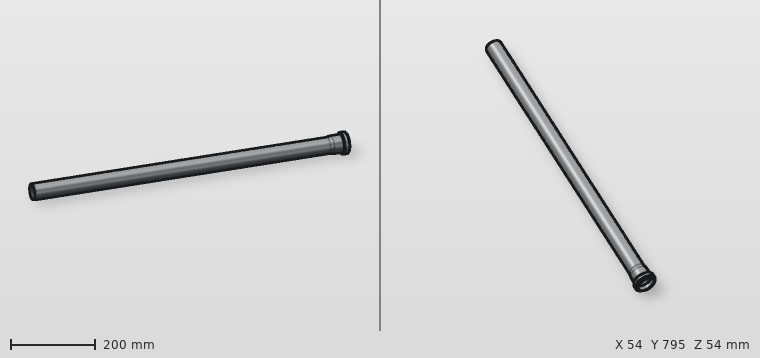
import cadquery as cq

length = 795.0
pipe_diameter = 40.5
bore_diameter = 36.5
spigot_chamfer_length = 4.0
spigot_chamfer_depth = 1.0

socket_diameter = 44.5
socket_bore_diameter = 41.0
socket_length = 39.0
taper_length = 9.5

collar_diameter = 54.0
collar_face_diameter = 50.0
collar_length = 13.5
collar_chamfer_length = 1.5
socket_lip_length = 2.0

spigot_end = -length / 2
mouth = length / 2
socket_start = mouth - socket_length
taper_start = socket_start - taper_length
collar_end = mouth - socket_lip_length
collar_start = collar_end - collar_length


def revolve_about_y(points):
    """Turn a closed (radius, y) outline into a solid around the Y axis."""
    return cq.Workplane("XY").polyline(points).close().revolve(360, (0, 0, 0), (0, 1, 0))


def make_pipe():
    """Pipe with a chamfered plain end and a belled socket of near-constant wall."""
    pipe_radius = pipe_diameter / 2
    bore_radius = bore_diameter / 2
    socket_radius = socket_diameter / 2
    socket_bore_radius = socket_bore_diameter / 2
    outside = [
        (pipe_radius - spigot_chamfer_depth, spigot_end),
        (pipe_radius, spigot_end + spigot_chamfer_length),
        (pipe_radius, taper_start),
        (socket_radius, socket_start),
        (socket_radius, mouth),
    ]
    inside = [
        (socket_bore_radius, mouth),
        (socket_bore_radius, socket_start),
        (bore_radius, taper_start),
        (bore_radius, spigot_end),
    ]
    return revolve_about_y(outside + inside)


def make_collar():
    """Ring bevelled at both ends, overlapping the socket wall."""
    inner_radius = socket_bore_diameter / 2
    face_radius = collar_face_diameter / 2
    outer_radius = collar_diameter / 2
    return revolve_about_y([
        (inner_radius, collar_start),
        (face_radius, collar_start),
        (outer_radius, collar_start + collar_chamfer_length),
        (outer_radius, collar_end - collar_chamfer_length),
        (face_radius, collar_end),
        (inner_radius, collar_end),
    ])


result = make_pipe().union(make_collar())